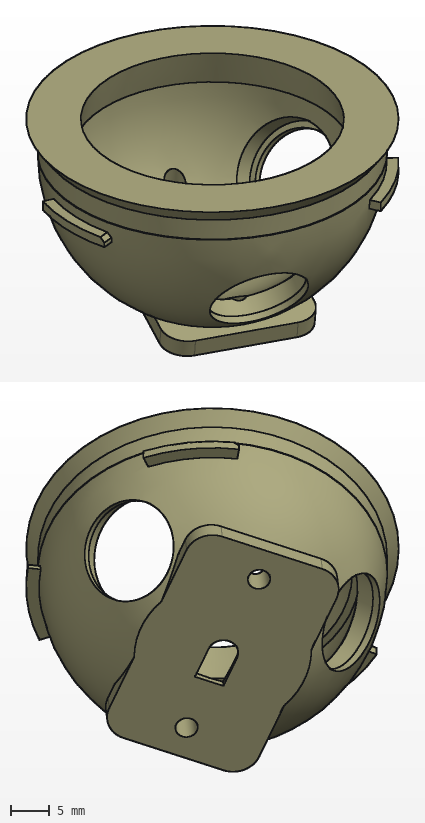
import cadquery as cq
import math

FLANGE_RADIUS = 24.0
FLANGE_HEIGHT = 2.0
OUTER_RADIUS = 22.5
RING_HEIGHT = 4.9
MOUTH_TOP_RADIUS = 16.95
MOUTH_BOTTOM_RADIUS = 18.0

RING_GAP = 0.1
CAVITY_RADIUS = 19.0
BOWL_TOP = -(RING_HEIGHT + RING_GAP)
BOWL_CENTER = (0, 0, BOWL_TOP)

BEARING_COUNT = 3
BEARING_DECLINATION = 33.5
BEARING_BORE_DIAMETER = 13.2
BEARING_SEAT_DIAMETER = 15.0
BEARING_SEAT_REACH = 20.5

TAB_END_ANGLES = (75, 165, 305)
TAB_SPAN = 30
TAB_TOP = -6.5
TAB_HEIGHT = 1.3
TAB_CHAMFER = 0.6
TAB_ROOT_RADIUS = (CAVITY_RADIUS + OUTER_RADIUS) / 2

PLATE_TILT = 10
PLATE_LENGTH = 32.65
PLATE_WIDTH = 21.0
PLATE_THICKNESS = 2.5
PLATE_CORNER_RADIUS = 3.5
PLATE_DEPTH = 19.4

SCREW_HOLE_DIAMETER = 2.9
SCREW_SPACING = 24.0
WINDOW_WIDTH = 4.0
WINDOW_STRAIGHT = 4.5


def plate_underside():
    """Workplane on the plate's underside, its normal pointing up through the bowl center."""
    tilt = math.radians(PLATE_TILT)
    up = cq.Vector(math.sin(tilt), 0, math.cos(tilt))
    along = cq.Vector(math.cos(tilt), 0, -math.sin(tilt))
    origin = cq.Vector(*BOWL_CENTER) - up * PLATE_DEPTH
    return cq.Workplane(cq.Plane(origin=origin, xDir=along, normal=up))


def make_ring():
    """Ring revolved from its section."""
    return (
        cq.Workplane("XZ")
        .moveTo(MOUTH_TOP_RADIUS, 0)
        .lineTo(FLANGE_RADIUS, 0)
        .lineTo(OUTER_RADIUS, -FLANGE_HEIGHT)
        .lineTo(OUTER_RADIUS, -RING_HEIGHT)
        .lineTo(MOUTH_BOTTOM_RADIUS, -RING_HEIGHT)
        .close()
        .revolve(360, (0, 0, 0), (0, 1, 0))
    )


def lower_hemisphere(radius):
    """Solid half ball below the bowl's top plane."""
    return (
        cq.Workplane("XZ", origin=BOWL_CENTER)
        .lineTo(radius, 0)
        .radiusArc((0, -radius), radius)
        .close()
        .revolve(360, (0, 0, 0), (0, 1, 0))
    )


def make_plate():
    """Tilted plate with rounded corners, not yet trimmed by the cavity."""
    outline = (
        cq.Sketch()
        .rect(PLATE_LENGTH, PLATE_WIDTH)
        .vertices()
        .fillet(PLATE_CORNER_RADIUS)
    )
    return plate_underside().placeSketch(outline).extrude(PLATE_THICKNESS)


def make_tab(end_angle):
    """Arc-shaped tab with the top edge of its counterclockwise end chamfered."""
    tab_bottom = TAB_TOP - TAB_HEIGHT
    tab = (
        cq.Workplane("XZ")
        .moveTo(TAB_ROOT_RADIUS, TAB_TOP)
        .lineTo(FLANGE_RADIUS, TAB_TOP)
        .lineTo(FLANGE_RADIUS, tab_bottom)
        .lineTo(TAB_ROOT_RADIUS, tab_bottom)
        .close()
        .revolve(TAB_SPAN, (0, 0, 0), (0, -1, 0))
    )
    tab = tab.faces(">Y").edges(">Z").chamfer(TAB_CHAMFER)
    return tab.rotate((0, 0, 0), (0, 0, 1), end_angle)


def bearing_hole(azimuth):
    """Cutter with a wide seat inside and a narrower bore to the outside."""
    seat = cq.Workplane("YZ").circle(BEARING_SEAT_DIAMETER / 2).extrude(BEARING_SEAT_REACH)
    bore = cq.Workplane("YZ").circle(BEARING_BORE_DIAMETER / 2).extrude(FLANGE_RADIUS)
    return (
        seat.union(bore)
        .rotate((0, 0, 0), (0, 1, 0), BEARING_DECLINATION)
        .rotate((0, 0, 0), (0, 0, 1), azimuth)
        .translate(BOWL_CENTER)
    )


def screw_holes():
    """Cutters for the two screw holes, square to the plate."""
    return (
        plate_underside()
        .rarray(SCREW_SPACING, 0.5, 2, 1)
        .circle(SCREW_HOLE_DIAMETER / 2)
        .extrude(PLATE_DEPTH)
    )


def window():
    """Cutter for the D-shaped window, rounded toward -X."""
    half_width = WINDOW_WIDTH / 2
    return (
        plate_underside()
        .moveTo(WINDOW_STRAIGHT, half_width)
        .lineTo(0, half_width)
        .threePointArc((-half_width, 0), (0, -half_width))
        .lineTo(WINDOW_STRAIGHT, -half_width)
        .close()
        .extrude(PLATE_DEPTH)
    )


def make_bowl():
    """Shell, plate and tabs in one solid, with all openings cut."""
    below_plate = plate_underside().circle(FLANGE_RADIUS).extrude(-OUTER_RADIUS)
    bowl = lower_hemisphere(OUTER_RADIUS).cut(below_plate).union(make_plate())
    for end_angle in TAB_END_ANGLES:
        bowl = bowl.union(make_tab(end_angle))

    bowl = bowl.cut(lower_hemisphere(CAVITY_RADIUS))
    for index in range(BEARING_COUNT):
        bowl = bowl.cut(bearing_hole(index * 360 / BEARING_COUNT))
    return bowl.cut(screw_holes()).cut(window())


ring = make_ring()
bowl = make_bowl()
result = cq.Compound.makeCompound([ring.val(), *bowl.vals()])